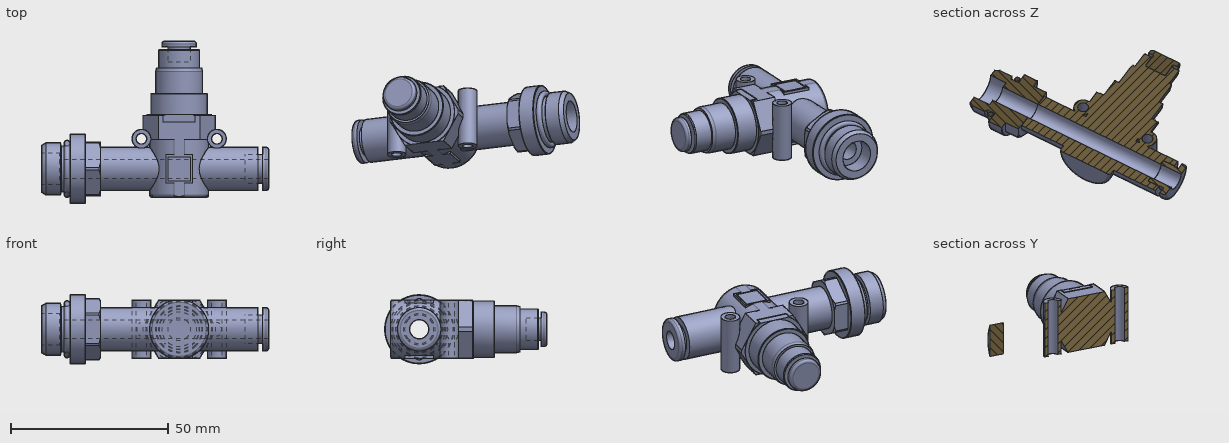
import cadquery as cq
import math


RUN_DIA = 13.8
RUN_HALF_LENGTH = 25.0
THROUGH_BORE_DIA = 6.0

BARREL_DIA = 18.8
BARREL_END_Y = -9.1
BARREL_END_FILLET = 0.8
FLAT_HALF_HEIGHT = 9.25

BLOCK_START_Y = 9.25
BLOCK_END_Y = 17.0
BLOCK_SIDE_FLATS = 20.6
BLOCK_WIDTH = 23.0
RIM_HEIGHT = 0.2

RECESS_DEPTH = 0.2
MARK_WIDTH = 10.2
MARK_LENGTH = 2.1
PLATE_WIDTH = 8.5
PLATE_LENGTH = 9.0
PLATE_RECESS_WIDTH = 7.1
PLATE_RECESS_LENGTH = 7.6

LUG_X = 12.0
LUG_Y = 9.55
LUG_DIA = 6.0
LUG_HOLE_DIA = 3.3

COLLAR_DIA = 18.0
COLLAR_END_Y = 24.0
COLLAR_CHAMFER = 0.2
MIDDLE_DIA = 15.0
MIDDLE_END_Y = 32.1
MIDDLE_TAPER_LENGTH = 1.1
MIDDLE_TAPER_DEPTH = 0.3
TIP_DIA = 13.0
TIP_END_Y = 38.0
TIP_CHAMFER_LENGTH = 0.45
TIP_CHAMFER_DEPTH = 0.2

SLEEVE_INSERTION = 4.0
RUN_SLEEVE_END_X = 28.5
RUN_SLEEVE_NECK_DIA = 9.2
RUN_SLEEVE_FLANGE = 2.0
BRANCH_SLEEVE_END_Y = 40.6
BRANCH_SLEEVE_NECK_DIA = 7.2
BRANCH_SLEEVE_DIA = 11.0
BRANCH_SLEEVE_FLANGE = 1.8
SLEEVE_FILLET = 0.9

STUD_END_X = -43.7
STUD_BORE_DIA = 10.0
STUD_BORE_DEPTH = 5.7
THREAD_DIA = 16.66
THREAD_END_X = -37.75
THREAD_TIP_DIA = 15.0
THREAD_TIP_LENGTH = 1.4
THREAD_RUNOUT = 0.3
FLANGE_DIA = 22.0
FLANGE_START_X = -34.75
FLANGE_END_X = -29.75
FLANGE_CHAMFER = 0.2
STUD_HEX_FLATS = 17.2
STUD_HEX_BLUNTED = 19.4
STUD_HEX_TURNED_DIA = 19.6
STUD_HEX_CHAMFER_LENGTH = 0.5
STUD_HEX_CHAMFER_DEPTH = 0.8

RING_SECTION_DIA = 1.8
RING_INNER_DIA = 14.6


def x_cylinder(diameter, start, end):
    """Cylinder on the run axis."""
    return cq.Workplane("YZ").workplane(offset=start).circle(diameter / 2).extrude(end - start)


def y_cylinder(diameter, start, end):
    """Cylinder on the branch axis."""
    return cq.Workplane("XZ", origin=(0, start, 0)).circle(diameter / 2).extrude(start - end)


def box_between(x_size, y_start, y_end, z_size):
    """Box centred on X and Z, between two places along Y."""
    return cq.Workplane("XY").box(x_size, y_end - y_start, z_size).translate((0, (y_start + y_end) / 2, 0))


def blunted_hexagon(flats, blunted):
    """Regular hexagon of the given width across flats, corners cut off at the blunted width; flats face up."""
    points = []
    half_flat = flats / 2 * math.tan(math.pi / 6)
    corner = flats / 2 / math.cos(math.pi / 6)
    trim = (corner - blunted / 2) / math.sin(math.pi / 6)
    for side in range(6):
        turn = side * math.pi / 3
        for along in (half_flat - trim, trim - half_flat):
            x = along * math.cos(turn) - flats / 2 * math.sin(turn)
            y = along * math.sin(turn) + flats / 2 * math.cos(turn)
            points.append((x, y))
    return points


def make_block():
    """Six-sided block, its upper and lower faces flush with the barrel flats, with a thin round rim."""
    length = BLOCK_END_Y - BLOCK_START_Y
    outline = blunted_hexagon(BLOCK_SIDE_FLATS, BLOCK_WIDTH)
    block = cq.Workplane("XZ", origin=(0, BLOCK_START_Y, 0)).polyline(outline).close().extrude(-length)
    rim = y_cylinder(BLOCK_SIDE_FLATS, BLOCK_END_Y, BLOCK_END_Y + RIM_HEIGHT)
    slab = box_between(BLOCK_WIDTH, BLOCK_START_Y, BLOCK_END_Y + RIM_HEIGHT, 2 * FLAT_HALF_HEIGHT)
    return block.union(rim).intersect(slab)


def make_barrel():
    barrel = y_cylinder(BARREL_DIA, BARREL_END_Y, BLOCK_START_Y).faces("<Y").edges().fillet(BARREL_END_FILLET)
    slab = box_between(BARREL_DIA, BARREL_END_Y, BLOCK_START_Y, 2 * FLAT_HALF_HEIGHT)
    return barrel.intersect(slab)


def make_branch_neck():
    """Stepped round neck that holds the branch sleeve."""
    collar = y_cylinder(COLLAR_DIA, BLOCK_END_Y, COLLAR_END_Y).faces(">Y").chamfer(COLLAR_CHAMFER)
    middle = y_cylinder(MIDDLE_DIA, COLLAR_END_Y, MIDDLE_END_Y)
    middle = middle.faces(">Y").edges().chamfer(MIDDLE_TAPER_LENGTH, MIDDLE_TAPER_DEPTH)
    tip = y_cylinder(TIP_DIA, MIDDLE_END_Y, TIP_END_Y)
    tip = tip.faces(">Y").edges().chamfer(TIP_CHAMFER_LENGTH, TIP_CHAMFER_DEPTH)
    return collar.union(middle).union(tip)


def make_housing():
    body = make_barrel().union(make_block()).union(make_branch_neck())
    body = body.union(x_cylinder(RUN_DIA, -RUN_HALF_LENGTH, RUN_HALF_LENGTH))
    body = body.union(box_between(PLATE_WIDTH, -PLATE_LENGTH / 2, PLATE_LENGTH / 2, 2 * FLAT_HALF_HEIGHT))

    lugs = cq.Workplane("XY", origin=(0, 0, -FLAT_HALF_HEIGHT)).pushPoints([(-LUG_X, LUG_Y), (LUG_X, LUG_Y)])
    body = body.union(lugs.circle(LUG_DIA / 2).extrude(2 * FLAT_HALF_HEIGHT))
    body = body.cut(lugs.circle(LUG_HOLE_DIA / 2).extrude(2 * FLAT_HALF_HEIGHT))

    mark_start = BLOCK_END_Y - MARK_LENGTH
    half_recess = PLATE_RECESS_LENGTH / 2
    recess_centre_z = FLAT_HALF_HEIGHT - RECESS_DEPTH / 2
    mark = box_between(MARK_WIDTH, mark_start, BLOCK_END_Y + RIM_HEIGHT, RECESS_DEPTH)
    plate_recess = box_between(PLATE_RECESS_WIDTH, -half_recess, half_recess, RECESS_DEPTH)
    for recess in (mark, plate_recess):
        body = body.cut(recess.translate((0, 0, recess_centre_z)))

    body = body.cut(x_cylinder(THROUGH_BORE_DIA, -RUN_HALF_LENGTH, RUN_HALF_LENGTH))
    body = body.cut(x_cylinder(RUN_SLEEVE_NECK_DIA, RUN_HALF_LENGTH - SLEEVE_INSERTION, RUN_HALF_LENGTH))
    return body.cut(y_cylinder(BRANCH_SLEEVE_NECK_DIA, TIP_END_Y - SLEEVE_INSERTION, TIP_END_Y))


def make_run_sleeve():
    neck_start = RUN_HALF_LENGTH - SLEEVE_INSERTION
    flange = x_cylinder(RUN_DIA, RUN_SLEEVE_END_X - RUN_SLEEVE_FLANGE, RUN_SLEEVE_END_X)
    flange = flange.faces(">X").edges().fillet(SLEEVE_FILLET)
    sleeve = flange.union(x_cylinder(RUN_SLEEVE_NECK_DIA, neck_start, RUN_SLEEVE_END_X))
    return sleeve.cut(x_cylinder(THROUGH_BORE_DIA, neck_start, RUN_SLEEVE_END_X))


def make_branch_sleeve():
    flange = y_cylinder(BRANCH_SLEEVE_DIA, BRANCH_SLEEVE_END_Y - BRANCH_SLEEVE_FLANGE, BRANCH_SLEEVE_END_Y)
    flange = flange.faces(">Y").edges().fillet(SLEEVE_FILLET)
    return flange.union(y_cylinder(BRANCH_SLEEVE_NECK_DIA, TIP_END_Y - SLEEVE_INSERTION, BRANCH_SLEEVE_END_Y))


def make_stud_hex():
    """Spanner hexagon with blunted corners, turned down to a cone at the tube end."""
    length = -RUN_HALF_LENGTH - FLANGE_END_X
    outline = blunted_hexagon(STUD_HEX_FLATS, STUD_HEX_BLUNTED)
    hexagon = cq.Workplane("YZ", origin=(FLANGE_END_X, 0, 0)).polyline(outline).close().extrude(length)
    hexagon = hexagon.rotate((0, 0, 0), (1, 0, 0), 90)
    turned = x_cylinder(STUD_HEX_TURNED_DIA, FLANGE_END_X, -RUN_HALF_LENGTH)
    turned = turned.faces(">X").edges().chamfer(STUD_HEX_CHAMFER_LENGTH, STUD_HEX_CHAMFER_DEPTH)
    return hexagon.intersect(turned)


def make_stud():
    thread_radius = THREAD_DIA / 2
    groove_radius = RING_INNER_DIA / 2
    threaded_profile = [
        (STUD_END_X, 0),
        (STUD_END_X, THREAD_TIP_DIA / 2),
        (STUD_END_X + THREAD_TIP_LENGTH, thread_radius),
        (THREAD_END_X, thread_radius),
        (THREAD_END_X + THREAD_RUNOUT, groove_radius),
        (FLANGE_START_X, groove_radius),
        (FLANGE_START_X, 0),
    ]
    threaded = cq.Workplane("XY").polyline(threaded_profile).close().revolve(360, (0, 0, 0), (1, 0, 0))
    flange = x_cylinder(FLANGE_DIA, FLANGE_START_X, FLANGE_END_X).edges().chamfer(FLANGE_CHAMFER)
    stud = threaded.union(flange).union(make_stud_hex())
    stud = stud.cut(x_cylinder(STUD_BORE_DIA, STUD_END_X, STUD_END_X + STUD_BORE_DEPTH))
    return stud.cut(x_cylinder(THROUGH_BORE_DIA, STUD_END_X, -RUN_HALF_LENGTH))


def make_sealing_ring():
    """Round ring lying in the stud's groove, against the flange."""
    section_radius = RING_SECTION_DIA / 2
    centre = (FLANGE_START_X - section_radius, RING_INNER_DIA / 2 + section_radius)
    section = cq.Workplane("XY").center(*centre).circle(section_radius)
    return section.revolve(360, (0, -centre[1], 0), (1, -centre[1], 0))


housing = make_housing()
stud = make_stud()
sealing_ring = make_sealing_ring()
run_sleeve = make_run_sleeve()
branch_sleeve = make_branch_sleeve()

result = cq.Compound.makeCompound(
    [housing.val(), stud.val(), sealing_ring.val(), run_sleeve.val(), branch_sleeve.val()]
)